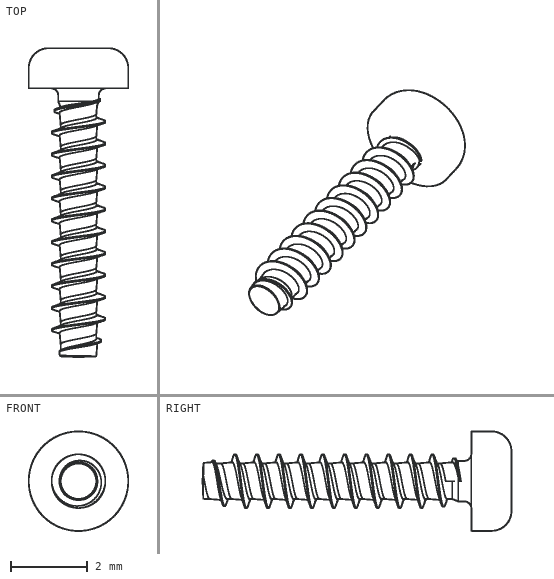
import math

import cadquery as cq


head_diameter = 2.6
head_height = 1.05
head_top_radius = 0.525
head_rim_radius = 0.03

shank_length = 7.0
neck_diameter = 1.06
neck_fillet = 0.185
neck_end = 0.34
neck_taper_end = 0.5
core_diameter = 0.932
tip_diameter = 0.92
tip_taper_length = 0.05
tip_dome_height = 0.02
tip_edge = shank_length - tip_dome_height

thread_diameter = 1.4
pitch = 0.571
first_crest = 0.295
lead_in_turns = 1.0
full_turns = 9.5
run_out_turns = 1.0
lead_in_drop = 0.13
run_out_drop = 0.215
crest_width = 0.03
upper_root_offset = 0.1
upper_root_height = 0.009
flank_break_offset = 0.057
flank_break_height = 0.104
lower_root_offset = 0.1
skirt_start_height = 0.034
skirt_end_offset = 0.372
skirt_end_height = 0.002
skirt_extra_turns = 0.3
embedded_depth = 0.056

head_radius = head_diameter / 2
neck_radius = neck_diameter / 2
core_radius = core_diameter / 2
tip_radius = tip_diameter / 2
thread_radius = thread_diameter / 2
embedded_radius = core_radius - embedded_depth


def arc_middle(center_r, center_z, radius, angle):
    """Point of a circle in the (radius, Z) half plane, at an angle in degrees."""
    return (
        center_r + radius * math.cos(math.radians(angle)),
        center_z + radius * math.sin(math.radians(angle)),
    )


def make_blank():
    """Head, neck, core and tip, turned from one half outline."""
    top_middle = arc_middle(
        head_radius - head_top_radius, head_top_radius - head_height, head_top_radius, -45
    )
    rim_middle = arc_middle(head_radius - head_rim_radius, -head_rim_radius, head_rim_radius, 45)
    neck_middle = arc_middle(neck_radius + neck_fillet, neck_fillet, neck_fillet, 225)
    return (
        cq.Workplane("YZ")
        .moveTo(0, -head_height)
        .lineTo(head_radius - head_top_radius, -head_height)
        .threePointArc(top_middle, (head_radius, head_top_radius - head_height))
        .lineTo(head_radius, -head_rim_radius)
        .threePointArc(rim_middle, (head_radius - head_rim_radius, 0))
        .lineTo(neck_radius + neck_fillet, 0)
        .threePointArc(neck_middle, (neck_radius, neck_fillet))
        .lineTo(neck_radius, neck_end)
        .lineTo(core_radius, neck_taper_end)
        .lineTo(core_radius, tip_edge - tip_taper_length)
        .lineTo(tip_radius, tip_edge)
        .lineTo(0, shank_length)
        .close()
        .revolve(360, (0, 0, 0), (0, 1, 0))
    )


rib_profile = [
    (embedded_radius, -upper_root_offset),
    (core_radius + upper_root_height, -upper_root_offset),
    (core_radius + flank_break_height, -flank_break_offset),
    (thread_radius, -crest_width / 2),
    (thread_radius, crest_width / 2),
    (embedded_radius, lower_root_offset),
]
skirt_profile = [
    (embedded_radius, 0),
    (core_radius + skirt_start_height, 0),
    (core_radius + skirt_end_height, skirt_end_offset),
    (embedded_radius, skirt_end_offset),
]


def make_helix(radius, z_start, turns, growth):
    """Right-hand helix starting at +X whose radius changes evenly by growth in total."""
    height = turns * pitch
    slope = math.atan2(growth, height)
    stretch = 1 / math.cos(slope)
    cone_angle = math.degrees(slope) if growth else 360
    return cq.Wire.makeHelix(
        pitch * stretch,
        height * stretch,
        radius,
        center=cq.Vector(0, 0, z_start),
        angle=cone_angle,
    ).Edges()[0]


def make_sweep(profile, start_turn, turns, start_drop=0, end_drop=0):
    """A profile swept along the thread; a drop is how far it is sunk towards the axis."""
    z_start = first_crest + start_turn * pitch
    edges = [
        make_helix(radius - start_drop, z_start + offset, turns, start_drop - end_drop)
        for radius, offset in profile
    ]
    faces = [
        cq.Face.makeRuledSurface(edge, following)
        for edge, following in zip(edges, edges[1:] + edges[:1])
    ]
    for end in (0, 1):
        corners = [edge.positionAt(end) for edge in edges]
        faces.append(cq.Face.makeFromWires(cq.Wire.makePolygon(corners, close=True)))
    sweep = cq.Solid.makeSolid(cq.Shell.makeShell(faces)).fix()
    return cq.Workplane(sweep).rotate((0, 0, 0), (0, 0, 1), start_turn * 360)


def make_tip_limit():
    """Cylinder around the shank, chamfered down to the tip, that bounds the end of the thread."""
    return (
        cq.Workplane("XY")
        .circle(thread_diameter)
        .extrude(tip_edge)
        .faces(">Z")
        .chamfer(thread_diameter - tip_radius)
    )


def make_screw():
    """Blank with the skirt and the lead-in, full-height and run-out stretches of rib added."""
    run_out_start = lead_in_turns + full_turns
    skirt_turns = run_out_start + run_out_turns + skirt_extra_turns
    tip_limit = make_tip_limit()
    skirt = make_sweep(skirt_profile, 0, skirt_turns).intersect(tip_limit, clean=False)
    lead_in = make_sweep(rib_profile, 0, lead_in_turns, lead_in_drop, 0)
    full_rib = make_sweep(rib_profile, lead_in_turns, full_turns)
    run_out = make_sweep(rib_profile, run_out_start, run_out_turns, 0, run_out_drop)
    run_out = run_out.intersect(tip_limit, clean=False)
    screw = make_blank()
    for addition in (skirt, lead_in, full_rib, run_out):
        screw = screw.union(addition, clean=False)
    return screw


result = make_screw().rotate((0, 0, 0), (1, 0, 0), 90)